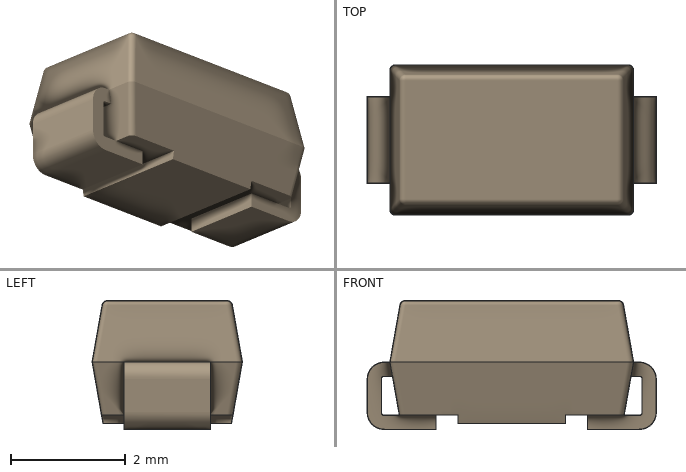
import cadquery as cq

BODY_LENGTH = 4.25
BODY_WIDTH = 2.62
DRAFT_ANGLE = 10.0
EDGE_RADIUS = 0.1

TOTAL_HEIGHT = 2.25
PARTING_HEIGHT = 1.18

PAD_LENGTH = 1.875
PAD_BOTTOM = 0.1

LEAD_SPAN = 5.04
LEAD_TOP = 1.175
LEAD_WIDTH = 1.51
LEAD_THICKNESS = 0.25
FOOT_LENGTH = 1.2
OUTER_BEND_RADIUS = 0.295
INNER_BEND_RADIUS = 0.03
CORNER_PICK_MARGIN = 0.005

BODY_BOTTOM = LEAD_THICKNESS
CORNER_EDGES = "(not #Z) and (not |X) and (not |Y)"


def tapered_half(height):
    """Half of the body, narrowing away from the parting plane over a signed height."""
    return (
        cq.Workplane("XY", origin=(0, 0, PARTING_HEIGHT))
        .rect(BODY_LENGTH, BODY_WIDTH)
        .extrude(height, taper=DRAFT_ANGLE)
    )


def upper_half():
    """Upper half with every edge above the parting plane rounded."""
    half = tapered_half(TOTAL_HEIGHT - PARTING_HEIGHT)
    return half.edges(f"({CORNER_EDGES}) or >Z").fillet(EDGE_RADIUS)


def lower_half():
    """Lower half with rounded corners, stepped up at both ends to leave the pad."""
    half = tapered_half(PAD_BOTTOM - PARTING_HEIGHT)
    half = half.edges(CORNER_EDGES).fillet(EDGE_RADIUS)
    step_length = (BODY_LENGTH - PAD_LENGTH) / 2
    step = cq.Workplane("XY").box(step_length, BODY_WIDTH, BODY_BOTTOM, centered=(False, True, False))
    step = step.translate((PAD_LENGTH / 2, 0, 0))
    return half.cut(step).cut(step.mirror("YZ"))


def left_lead():
    """C-shaped strip: out of the body below the parting plane, down, and under the body."""
    outer_end = -LEAD_SPAN / 2
    foot_end = outer_end + FOOT_LENGTH
    inner_wall = outer_end + LEAD_THICKNESS
    inner_top = LEAD_TOP - LEAD_THICKNESS
    strip = (
        cq.Workplane("XZ")
        .moveTo(foot_end, 0)
        .lineTo(outer_end, 0)
        .lineTo(outer_end, LEAD_TOP)
        .lineTo(foot_end, LEAD_TOP)
        .lineTo(foot_end, inner_top)
        .lineTo(inner_wall, inner_top)
        .lineTo(inner_wall, LEAD_THICKNESS)
        .lineTo(foot_end, LEAD_THICKNESS)
        .close()
        .extrude(LEAD_WIDTH / 2, both=True)
    )
    strip = strip.edges("|Y and <X").fillet(OUTER_BEND_RADIUS)
    margin = CORNER_PICK_MARGIN
    inner_corners = cq.selectors.BoxSelector(
        (inner_wall - margin, -LEAD_WIDTH, LEAD_THICKNESS - margin),
        (inner_wall + margin, LEAD_WIDTH, inner_top + margin),
    )
    return strip.edges("|Y").edges(inner_corners).fillet(INNER_BEND_RADIUS)


lead = left_lead()
result = upper_half().union(lower_half()).union(lead).union(lead.mirror("YZ"))